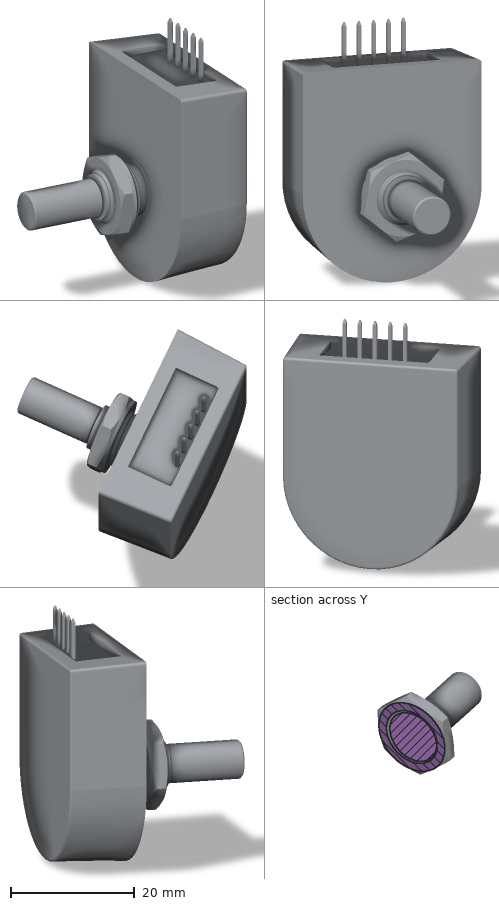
import cadquery as cq
import math


housing_width = 30.45
housing_top = 20.55
housing_depth = 12.65
draft_angle = 3.0
top_corner_radius = 0.5
back_edge_radius = 0.4

recess_width = 18.35
recess_front = 2.45
recess_back = 10.15
recess_lip_bottom = 19.15
recess_floor = 18.55
recess_undercut = 0.83
recess_corner_radius = 0.4

pin_count = 5
pin_pitch = 2.53
pin_side = 0.62
pin_back = 9.35
pin_top = 26.15
pin_tip_height = 0.65
pin_tip_side = 0.2

flange_radius = 4.85
flange_thickness = 0.12
core_radius = 4.22
thread_radius = 4.75
thread_pitch = 0.795
thread_start = 1.32
thread_end = 6.7
thread_crest_width = 0.1
thread_flank_angle = 30.0
thread_phase = 1.0
thread_sink = 0.05
lead_end_radius = 3.97
nose_radius = 3.8
bushing_length = 7.45

washer_radius = 6.35
washer_start = 3.2
washer_thickness = 0.6
bore_clearance = 0.05
nut_start = washer_start + washer_thickness
nut_thickness = 2.45
nut_end = nut_start + nut_thickness
nut_flat_radius = 6.35
nut_corner_radius = nut_flat_radius / math.cos(math.radians(30))
nut_chamfer_height = 0.5
nut_turn = 20.0

shaft_radius = 3.2
shaft_start = 7.7
shaft_tip = 20.15
shaft_tip_chamfer = 0.25
shaft_inner_chamfer = 0.15
neck_radius = 2.25


def onto_axis(body):
    """Turn a body built along +Z so that it points along -Y, with +Y becoming +Z."""
    return body.rotate((0, 0, 0), (1, 0, 0), 90)


def turned(points):
    """Solid of revolution about Z from a closed (radius, height) outline."""
    return cq.Workplane("XZ").polyline(points).close().revolve(360, (0, 0, 0), (0, 1, 0))


def make_housing():
    """Drafted block with a round lower end, narrowing towards the back."""
    radius = housing_width / 2
    body = (
        cq.Workplane("XZ")
        .moveTo(-radius, 0)
        .lineTo(-radius, housing_top)
        .lineTo(radius, housing_top)
        .lineTo(radius, 0)
        .threePointArc((0, -radius), (-radius, 0))
        .close()
        .extrude(-housing_depth, taper=draft_angle)
    )
    corner_zone = cq.selectors.BoxSelector(
        (-radius, 0.4, recess_floor), (radius, housing_depth - 0.4, housing_top)
    )
    body = body.edges(corner_zone).fillet(top_corner_radius)
    body = body.faces(">Y").edges().fillet(back_edge_radius)
    return body.cut(make_recess())


def make_recess():
    """Opening in the top of the housing, undercut beneath its rim on all four sides."""
    recess_length = recess_back - recess_front
    recess_middle = (recess_front + recess_back) / 2
    opening = (
        cq.Workplane("XY", origin=(0, recess_middle, recess_lip_bottom))
        .rect(recess_width, recess_length)
        .extrude(housing_top - recess_lip_bottom)
        .edges("|Z and >Y")
        .fillet(recess_corner_radius)
    )
    undercut = (
        cq.Workplane("XY", origin=(0, recess_middle, recess_floor))
        .rect(recess_width + 2 * recess_undercut, recess_length + 2 * recess_undercut)
        .extrude(recess_lip_bottom - recess_floor)
    )
    return opening.union(undercut)


def make_pin(x):
    """Square pin with a pyramid tip, standing on the recess floor."""
    shoulder = pin_top - pin_tip_height
    stem = (
        cq.Workplane("XY", origin=(x, pin_back, recess_floor))
        .rect(pin_side, pin_side)
        .extrude(shoulder - recess_floor)
    )
    tip = (
        cq.Workplane("XY", origin=(x, pin_back, shoulder))
        .rect(pin_side, pin_side)
        .workplane(offset=pin_tip_height)
        .rect(pin_tip_side, pin_tip_side)
        .loft()
    )
    return stem.union(tip)


def make_thread_rod():
    """Core with a right-hand ridge, longer than the threaded stretch at both ends."""
    root_radius = core_radius - thread_sink
    half_crest = thread_crest_width / 2
    flank_slope = math.tan(math.radians(thread_flank_angle))
    half_root = half_crest + (thread_radius - root_radius) * flank_slope
    helix = cq.Wire.makeHelix(
        thread_pitch, bushing_length - thread_phase, root_radius, center=cq.Vector(0, 0, thread_phase)
    )
    ridge = (
        cq.Workplane("XZ", origin=(0, 0, thread_phase))
        .polyline(
            [
                (root_radius, -half_root),
                (thread_radius, -half_crest),
                (thread_radius, half_crest),
                (root_radius, half_root),
            ]
        )
        .close()
        .sweep(cq.Workplane(obj=helix), isFrenet=True)
    )
    core = cq.Workplane("XY").circle(core_radius).extrude(bushing_length + thread_pitch)
    return core.union(ridge)


def make_bushing():
    """Flange, plain neck, threaded stretch with a 45 degree lead, and plain nose."""
    envelope_radius = thread_radius + bore_clearance
    lead_length = envelope_radius - lead_end_radius
    thread_envelope = turned(
        [
            (0, thread_start),
            (envelope_radius, thread_start),
            (envelope_radius, thread_end - lead_length),
            (lead_end_radius, thread_end),
            (0, thread_end),
        ]
    )
    threaded_stretch = make_thread_rod().intersect(thread_envelope)
    flange_and_neck = (
        cq.Workplane("XY")
        .circle(flange_radius)
        .extrude(flange_thickness)
        .faces(">Z")
        .workplane()
        .circle(core_radius)
        .extrude(thread_start - flange_thickness)
    )
    nose = (
        cq.Workplane("XY", origin=(0, 0, thread_end))
        .circle(nose_radius)
        .extrude(bushing_length - thread_end)
    )
    return onto_axis(threaded_stretch.union(flange_and_neck).union(nose))


def make_washer():
    """Flat ring around the thread, against the nut."""
    ring = (
        cq.Workplane("XY", origin=(0, 0, washer_start))
        .circle(washer_radius)
        .circle(thread_radius + bore_clearance)
        .extrude(washer_thickness)
    )
    return onto_axis(ring)


def make_nut():
    """Hexagonal nut, threaded to fit the bushing, with corners cut by a cone on both faces."""
    hexagon = (
        cq.Workplane("XY", origin=(0, 0, nut_start))
        .polygon(6, 2 * nut_corner_radius)
        .extrude(nut_thickness)
        .rotate((0, 0, 0), (0, 0, 1), nut_turn)
    )
    cone_envelope = turned(
        [
            (0, nut_start),
            (nut_flat_radius, nut_start),
            (nut_corner_radius, nut_start + nut_chamfer_height),
            (nut_corner_radius, nut_end - nut_chamfer_height),
            (nut_flat_radius, nut_end),
            (0, nut_end),
        ]
    )
    blank = hexagon.intersect(cone_envelope)
    return onto_axis(blank.cut(make_thread_rod()))


def make_shaft():
    """Round shaft, chamfered at both ends, on a short neck that meets the bushing."""
    barrel = (
        cq.Workplane("XY", origin=(0, 0, shaft_start))
        .circle(shaft_radius)
        .extrude(shaft_tip - shaft_start)
        .edges(">Z")
        .chamfer(shaft_tip_chamfer)
        .edges("<Z")
        .chamfer(shaft_inner_chamfer)
    )
    neck = (
        cq.Workplane("XY", origin=(0, 0, bushing_length))
        .circle(neck_radius)
        .extrude(shaft_start - bushing_length)
    )
    return onto_axis(barrel.union(neck))


housing = make_housing()
pins = [make_pin((i - (pin_count - 1) / 2) * pin_pitch) for i in range(pin_count)]
bushing = make_bushing()
washer = make_washer()
nut = make_nut()
shaft = make_shaft()

bodies = [housing, *pins, bushing, washer, nut, shaft]
result = cq.Compound.makeCompound([body.solids().val() for body in bodies])